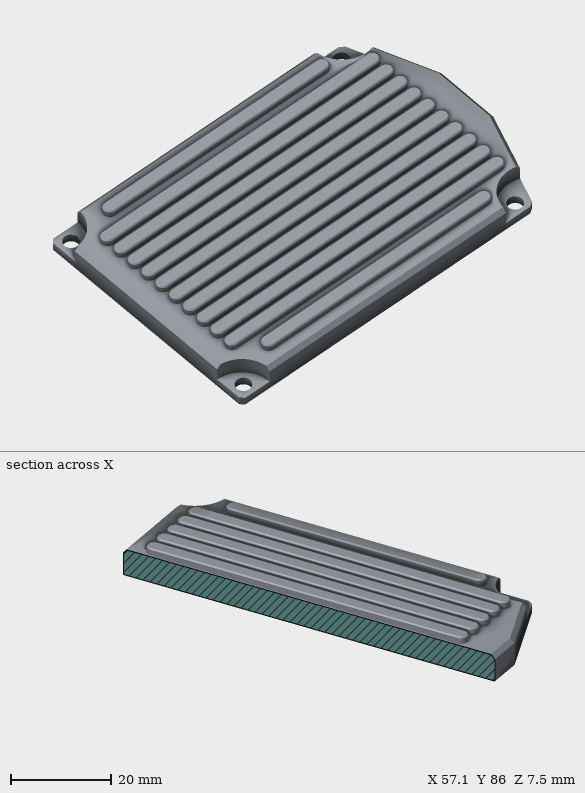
import cadquery as cq

width = 57.1
length = 86.0
height = 7.5
body_height = 5.9
half_width = width / 2
peak_half_width = 7.7
shoulder_y = 78.0
right_ear_shift = 0.2
top_chamfer = 0.95
corner_chamfer = 0.9

ear_thickness = 2.0
ear_radius = 7.4
hole_diameter = 3.5
front_hole_x = 25.6
front_hole_inset = 3.0
rear_hole_x = 25.8
rear_hole_y = 75.5

rib_width = 3.0
rib_edge_chamfer = 0.3
rib_count = 10
rib_pitch = 4.1
rib_row_center_x = 0.215
rib_start_y = 4.7
rib_end_y = 78.6
side_rib_x = 23.8
left_rib_start_y = 10.2
left_rib_end_y = 70.0
right_rib_start_y = 10.0
right_rib_end_y = 70.6

outline_corners = [
    (-half_width, 0),
    (half_width, right_ear_shift),
    (half_width, shoulder_y + right_ear_shift),
    (peak_half_width, length),
    (-peak_half_width, length),
    (-half_width, shoulder_y),
]
ear_corners = [outline_corners[i] for i in (0, 1, 2, 5)]
hole_centers = [
    (-front_hole_x, front_hole_inset),
    (front_hole_x, front_hole_inset + right_ear_shift),
    (-rear_hole_x, rear_hole_y),
    (rear_hole_x, rear_hole_y + right_ear_shift),
]


def make_body():
    """Chamfered plate with stepped, clipped and drilled corner ears."""
    plate = cq.Workplane("XY").polyline(outline_corners).close().extrude(body_height)
    plate = plate.faces(">Z").edges().chamfer(top_chamfer)
    steps = (
        cq.Workplane("XY", origin=(0, 0, ear_thickness))
        .pushPoints(ear_corners)
        .circle(ear_radius)
        .extrude(body_height)
    )
    plate = plate.cut(steps)
    for x, y in ear_corners:
        nearest = cq.selectors.NearestToPointSelector((x, y, ear_thickness / 2))
        plate = plate.edges("|Z").edges(nearest).chamfer(corner_chamfer)
    holes = cq.Workplane("XY").pushPoints(hole_centers).circle(hole_diameter / 2).extrude(body_height)
    return plate.cut(holes)


def make_rib(x, start_y, end_y):
    """Round-ended rib along Y with a chamfered top edge."""
    return (
        cq.Workplane("XY", origin=(x, (start_y + end_y) / 2, body_height))
        .slot2D(end_y - start_y, rib_width, 90)
        .extrude(height - body_height)
        .faces(">Z")
        .chamfer(rib_edge_chamfer)
    )


result = make_body()
for i in range(rib_count):
    rib_x = rib_row_center_x + (i - (rib_count - 1) / 2) * rib_pitch
    result = result.union(make_rib(rib_x, rib_start_y, rib_end_y))
result = result.union(make_rib(-side_rib_x, left_rib_start_y, left_rib_end_y))
result = result.union(make_rib(side_rib_x, right_rib_start_y, right_rib_end_y))